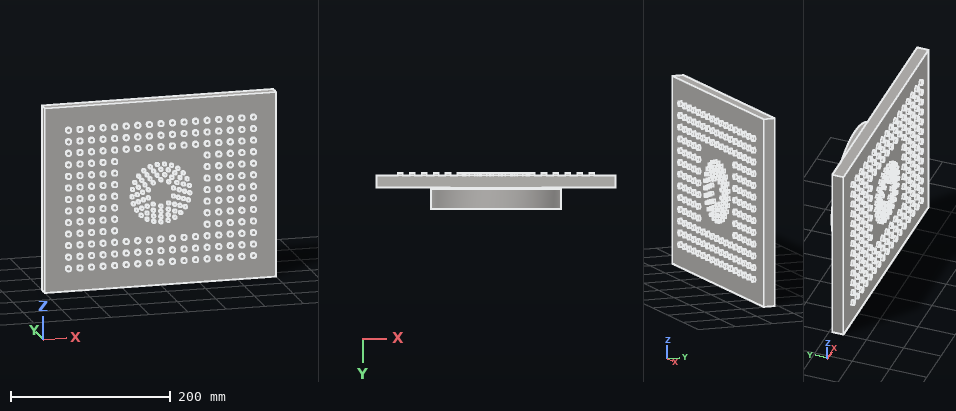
import cadquery as cq
import math

plate_length = 300.0
plate_height = 240.0
plate_thickness = 15.3

web_thickness = 3.0
web_margin = 6.0
nozzle_projection = 3.0

grid_nozzle_diameter = 6.5
grid_pitch = 15.0
grid_columns = 17
grid_rows = 13
grid_border_columns = 5
grid_border_rows = 3

ring_nozzle_diameter = 4.2
inner_ring_radius = 17.0
outer_ring_radius = 37.5
ring_nozzle_counts = [10, 15, 20, 25]
ring_step = (outer_ring_radius - inner_ring_radius) / (len(ring_nozzle_counts) - 1)

neck_diameter = 115.0
neck_length = 2.0
disc_diameter = 163.2
disc_length = 25.0

web_length = (grid_columns - 1) * grid_pitch + grid_nozzle_diameter + 2 * web_margin
web_height = (grid_rows - 1) * grid_pitch + grid_nozzle_diameter + 2 * web_margin

nozzle_tip = -nozzle_projection
plate_back = plate_thickness
web_front = plate_back - web_thickness
neck_back = plate_back + neck_length


def slab(length, height, front, back):
    """Rectangular slab centred on the Y axis, between two Y levels."""
    return cq.Workplane("XZ", origin=(0, front, 0)).rect(length, height).extrude(front - back)


def cylinders(points, diameter, front, back):
    """Cylinders along Y at the given (X, Z) points, between two Y levels."""
    plane = cq.Workplane("XZ", origin=(0, front, 0))
    return plane.pushPoints(points).circle(diameter / 2).extrude(front - back)


def grid_points():
    """(X, Z) centres of the large nozzles in the border around the free window."""
    points = []
    for column in range(grid_columns):
        for row in range(grid_rows):
            in_side_border = min(column, grid_columns - 1 - column) < grid_border_columns
            in_end_border = min(row, grid_rows - 1 - row) < grid_border_rows
            if in_side_border or in_end_border:
                x = (column - (grid_columns - 1) / 2) * grid_pitch
                z = (row - (grid_rows - 1) / 2) * grid_pitch
                points.append((x, z))
    return points


def ring_points():
    """(X, Z) centres of the small nozzles on the concentric rings."""
    points = []
    for ring, count in enumerate(ring_nozzle_counts):
        radius = inner_ring_radius + ring * ring_step
        for position in range(count):
            angle = 2 * math.pi * position / count
            points.append((radius * math.sin(angle), -radius * math.cos(angle)))
    return points


def make_nozzle_mat():
    """Web and all nozzles as one body; the nozzles run through the web to join it fully."""
    web = slab(web_length, web_height, web_front, plate_back)
    large_nozzles = cylinders(grid_points(), grid_nozzle_diameter, nozzle_tip, plate_back)
    small_nozzles = cylinders(ring_points(), ring_nozzle_diameter, nozzle_tip, plate_back)
    return web.union(large_nozzles).union(small_nozzles).solids()


def make_plate(mat):
    """Slab with the matching recess and holes for the nozzle mat."""
    return slab(plate_length, plate_height, 0, plate_back).cut(mat).solids()


def make_neck():
    return cylinders([(0, 0)], neck_diameter, plate_back, neck_back)


def make_disc():
    return cylinders([(0, 0)], disc_diameter, neck_back, neck_back + disc_length)


nozzle_mat = make_nozzle_mat()
plate = make_plate(nozzle_mat)
neck = make_neck()
disc = make_disc()

result = cq.Compound.makeCompound([plate.val(), nozzle_mat.val(), neck.val(), disc.val()])